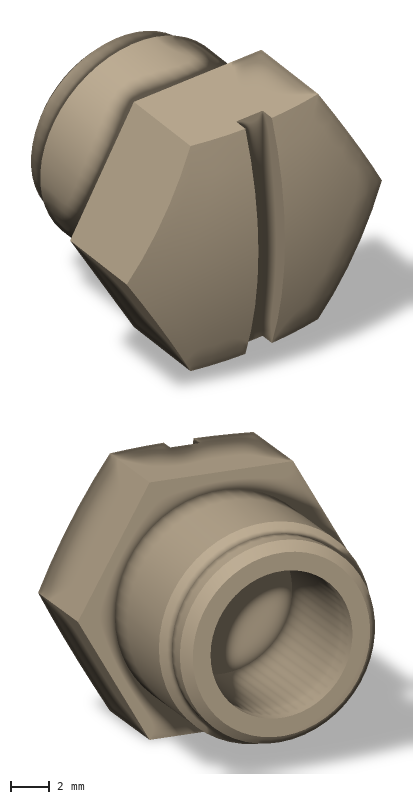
import cadquery as cq

across_corners = 16.17
total_length = 14.0
dome_radius = 21.99

shank_length = 7.5
shank_radius = 6.0
chamfer = 0.5
neck_radius = shank_radius - chamfer
tip_radius = neck_radius - chamfer
neck_end = 1.5

bore_radius = 4.0
bore_depth = shank_length

slot_width = 1.68
slot_depth = 1.97


def make_shank():
    """Revolve the chamfered tip, the neck and the full-diameter shank about X."""
    return (
        cq.Workplane("XY")
        .lineTo(0, tip_radius)
        .lineTo(chamfer, neck_radius)
        .lineTo(neck_end, neck_radius)
        .lineTo(neck_end + chamfer, shank_radius)
        .lineTo(shank_length, shank_radius)
        .lineTo(shank_length, 0)
        .close()
        .revolve(360, (0, 0, 0), (1, 0, 0))
    )


def make_head():
    """Extrude the hexagon and round its outer end with a shallow spherical dome."""
    prism = (
        cq.Workplane("YZ", origin=(shank_length, 0, 0))
        .polygon(6, across_corners)
        .extrude(total_length - shank_length)
    )
    dome_center = total_length - dome_radius
    ball = cq.Workplane("XY").sphere(dome_radius).translate((dome_center, 0, 0))
    return prism.intersect(ball)


def make_bore():
    return cq.Workplane("YZ").circle(bore_radius).extrude(bore_depth)


def make_slot():
    """Cutter longer than the head is wide, so the slot is open at both ends."""
    return (
        cq.Workplane("YZ", origin=(total_length - slot_depth, 0, 0))
        .rect(slot_width, across_corners)
        .extrude(slot_depth)
    )


result = make_shank().union(make_head()).cut(make_bore()).cut(make_slot())